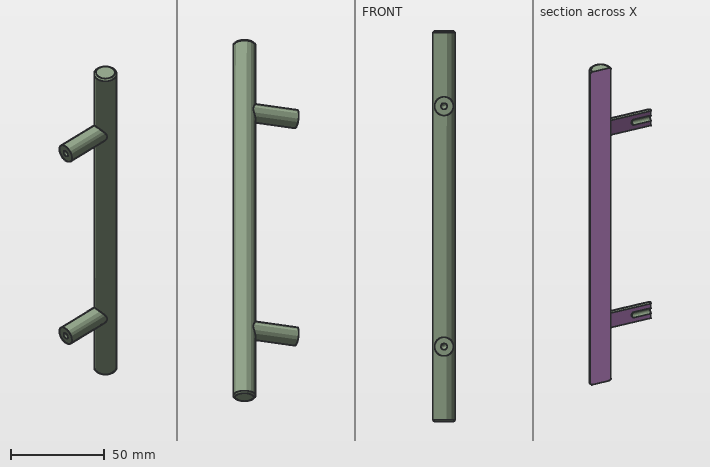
import cadquery as cq
import math

bar_length = 208.0
bar_diameter = 12.0
bar_chamfer = 1.0

overall_depth = 35.0
post_diameter = 10.0
post_spacing = 128.0
post_end_y = bar_diameter / 2 - overall_depth

hole_diameter = 3.3
hole_depth = 10.5
drill_point_angle = 118.0
hole_radius = hole_diameter / 2
drill_point_depth = hole_radius / math.tan(math.radians(drill_point_angle / 2))


def make_bar():
    """Round bar with both ends chamfered."""
    bar = cq.Workplane("XY", origin=(0, 0, -bar_length / 2)).circle(bar_diameter / 2).extrude(bar_length)
    return bar.faces("<Z or >Z").edges().chamfer(bar_chamfer)


def make_screw_hole():
    """Drilled hole with a conical bottom, entering the free end of a post at Z = 0."""
    hole_bottom_y = post_end_y + hole_depth
    half_profile = (
        cq.Workplane("XY")
        .moveTo(0, post_end_y)
        .lineTo(hole_radius, post_end_y)
        .lineTo(hole_radius, hole_bottom_y)
        .lineTo(0, hole_bottom_y + drill_point_depth)
        .close()
    )
    return half_profile.revolve(360, (0, 0, 0), (0, 1, 0))


def make_post(height):
    """Round post at the given Z, its inner end saddled to fit the side of the bar."""
    post = cq.Workplane("XZ").circle(post_diameter / 2).extrude(-post_end_y)
    post = post.cut(make_bar()).cut(make_screw_hole())
    return post.translate((0, 0, height))


bar = make_bar()
posts = [make_post(side * post_spacing / 2) for side in (-1, 1)]

result = cq.Compound.makeCompound([bar.val(), *[solid for post in posts for solid in post.solids().vals()]])